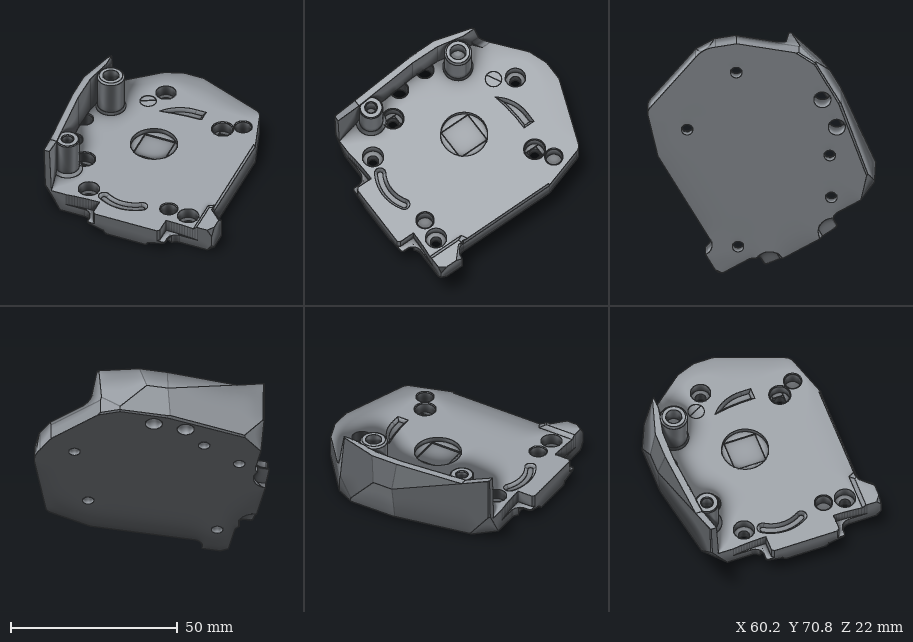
import cadquery as cq
import math

PLATE_TOP = 6.65
WING_TOP = 7.8
WALL_TOP = 18.7
TIP_TOP = 21.95
OVERALL_X = 60.2
OVERALL_Y = 70.8
FRONT_Y = 4.9
PLATE_RIGHT = 56.55
RIGHT_BEND_Y = 47.7
TAB_CENTER_X = 34.25
CORE_POINT = (56.6, 8.5, 1.4)
FAR = 141.6
CLEAR = 0.7

RIDGE_BACK = (0.0, 42.2, 10.75)
RIDGE_FRONT = (0.0, 35.7, 10.75)
SHOULDER_FRONT = (2.3, 35.4, WALL_TOP)
BACK_TOP = (5.5, 55.15, WALL_TOP)
SLOPE_START = (3.95, 13.6, WALL_TOP)
FOOT_BACK = (0.35, 50.25, 1.7)
FOOT_MIDDLE = (0.4, 35.7, 0.0)
FOOT_FRONT = (4.9, 11.1, 0.6)
BACK_CORNER = (3.05, 55.8)
BACK_BEND = (17.7, 67.8)
BACK_LEAN_START = 5.25
BACK_LEAN = 0.13
TIP_FACET_TOP = (5.8, 5.4, 7.9)
TIP_FACET_END = (10.75, FRONT_Y, 0.2)
TIP_EDGE_TOP = (5.4, 5.4, TIP_TOP)
TIP_EDGE_FRONT = (6.15, FRONT_Y, 7.9)
RIGHT_CORNER = [(52.6, 60.45), (51.9, 61.8), (50.6, 62.65)]
BACK_NOSE = [(30.65, 70.1), (27.1, OVERALL_Y), (23.7, 70.0)]
BACK_TOP_Y = 70.15
BOTTOM_CHAMFER = 0.5

TAB_HALF = 12.6
TAB_FILLET = 2.9
TAB_CORNER = 0.7
LEDGE_Z = 2.75
UPPER_TAB_HALF = 10.8
UNDERCUT_SLOPE = [(12.3, 2.4), (7.35, 1.05), (6.5, 0)]
UNDERCUT_OFFSET = 11.05
UNDERCUT_RADIUS = 4.5
GRIP_HALF = 21.4
GRIP_DEPTH = 0.65
GRIP_FACETS = 12

WING_BACK = 12.75
WING_FILLET = 3.1
WING_SLOPE_X = 54.15
WING_SLOPE_RUN = WING_TOP - PLATE_TOP
PAD_BACK_LEFT = (WING_SLOPE_X, 16.7, PLATE_TOP)
PAD_BACK_RIGHT = (56.0, 17.6, PLATE_TOP)
PAD_TOP_BACK = 14.8
WING_CORNER = (1.5, 2.1, 2.1)
WING_BEVEL_START = (56.35, 14.1, WING_TOP)
WING_BEVEL_END = (OVERALL_X, 10.5, WING_TOP)
WING_BEVEL_LOW = 5.65
EDGE_CHAMFER = 0.6

WALL_END_X = 6.3
WALL_END_START = 52.0
INNER_BEND_BACK = (4.5, 43.9)
INNER_BEND_FRONT = (4.4, 34.7)
INNER_SLOPE_START = (6.15, SLOPE_START[1])
INNER_FRONT_LOW = 8.1
INNER_FRONT_HIGH = 7.4
WALL_END_RADIUS = 2.55
WALL_END_WIDTH = 3.2

BOSSES = [
    ((9.55, 47.8), 4.1, 2.4, WALL_TOP, 0.6),
    ((8.6, 16.3), 3.55, 1.6, 18.25, 0.3),
]
BOSS_FLARE_RADIUS = 4.5
BOSS_FLARE = 0.85
BOSS_HOLE_DEPTH = 4.95

SCREWS = [((22.5, 59.7), 3.05), ((18.1, 10.05), 3.2), ((50.4, 10.05), 3.2)]
SCREW_RADIUS = 1.7
COUNTERBORE_DEPTH = 3.4
STEPPED_SCREWS = [(44.6, 50.8), (11.7, 22.15)]
STEPPED_RADIUS = 3.05
STEP = 0.3
HOLE_CHAMFER = 0.3
MAGNET_RADIUS = 2.5
MAGNET_DEPTH = 4.25
OPEN_MAGNET_HOLES = [(49.9, 54.1), (43.8, 10.75)]
MAGNET_AT = (19.05, 54.1)
STEP_LINE_ANGLE = 27.6
STEP_LINE_OFFSET = 0.3
MAGNET_STEP = 0.15
WALL_HOLES = [(4.5, 39.1), (5.25, 29.2)]
WALL_HOLE_RADIUS = 2.55

RECESS_AT = (28.25, 36.5)
RECESS_RADIUS = 7.1
RECESS_DEPTH = 1.5
SQUARE_SIDE = 9.9
SQUARE_DEPTH = 0.5

POCKET_DEPTH = 1.0
POCKET_TAPER = 42.0
SLOT_CENTER = (29.8, 18.4)
SLOT_RADIUS = 11.5
SLOT_HALF_WIDTH = 1.7
SLOT_HALF_ANGLE = 32.5
FIN_TIP = (24.0, 51.1)
FIN_FRONT_MIDDLE = (30.1, 52.0)
FIN_BACK_MIDDLE = (28.0, 54.5)
FIN_RIGHT = 37.2
FIN_FRONT = 52.3
FIN_BACK = 55.9
FIN_ARC_START = 34.0


def cut_beyond(body, point_a, point_b, point_c):
    """Remove what lies beyond the plane through three points, seen from the core point."""
    origin = cq.Vector(*point_a)
    along = cq.Vector(*point_b) - origin
    normal = along.cross(cq.Vector(*point_c) - origin)
    if normal.dot(cq.Vector(*CORE_POINT) - origin) > 0:
        normal = -normal
    plane = cq.Plane(origin, xDir=along, normal=normal)
    block = cq.Workplane(plane).rect(2 * FAR, 2 * FAR).extrude(FAR)
    return body.cut(block)


def prism(points, bottom, top):
    """Upright prism over a plan polygon."""
    return cq.Workplane("XY").workplane(offset=bottom).polyline(points).close().extrude(top - bottom)


def cylinder(center, radius, bottom, top):
    return cq.Workplane("XY").workplane(offset=bottom).center(*center).circle(radius).extrude(top - bottom)


def cone(center, bottom_radius, top_radius, bottom, top):
    solid = cq.Solid.makeCone(bottom_radius, top_radius, top - bottom, cq.Vector(*center, bottom))
    return cq.Workplane(obj=solid)


def plan_block():
    """Full-height block over the plan outline, without the tab."""
    fillet_top = WING_BACK + WING_FILLET
    fillet_mid = WING_FILLET * (1 - math.sqrt(0.5))
    return (
        cq.Workplane("XY")
        .moveTo(-CLEAR, FRONT_Y)
        .lineTo(OVERALL_X, FRONT_Y)
        .lineTo(OVERALL_X, WING_BACK)
        .lineTo(PLATE_RIGHT + WING_FILLET, WING_BACK)
        .threePointArc((PLATE_RIGHT + fillet_mid, WING_BACK + fillet_mid), (PLATE_RIGHT, fillet_top))
        .lineTo(PLATE_RIGHT, RIGHT_BEND_Y)
        .lineTo(*RIGHT_CORNER[0])
        .threePointArc(*RIGHT_CORNER[1:])
        .lineTo(*BACK_NOSE[0])
        .threePointArc(*BACK_NOSE[1:])
        .lineTo(*BACK_BEND)
        .lineTo(*BACK_CORNER)
        .lineTo(-CLEAR, BACK_CORNER[1])
        .close()
        .extrude(TIP_TOP)
    )


def trim_outer_faces(body):
    """Cut the flat facets of the left wall and the leaning back faces."""
    body = cut_beyond(body, RIDGE_FRONT, FOOT_FRONT, SLOPE_START)
    body = cut_beyond(body, RIDGE_BACK, FOOT_MIDDLE, RIDGE_FRONT)
    body = cut_beyond(body, RIDGE_BACK, BACK_TOP, FOOT_BACK)
    body = cut_beyond(body, RIDGE_BACK, RIDGE_FRONT, SHOULDER_FRONT)
    body = cut_beyond(body, RIDGE_FRONT, SLOPE_START, SHOULDER_FRONT)
    foot_below = (FOOT_BACK[0], FOOT_BACK[1], 0)
    body = cut_beyond(body, FOOT_BACK, (*BACK_CORNER, 0), foot_below)
    run_x = BACK_BEND[0] - BACK_CORNER[0]
    run_y = BACK_BEND[1] - BACK_CORNER[1]
    run = math.hypot(run_x, run_y)
    lean_height = WALL_TOP - BACK_LEAN_START
    leaned = (
        BACK_CORNER[0] + BACK_LEAN * lean_height * run_y / run,
        BACK_CORNER[1] - BACK_LEAN * lean_height * run_x / run,
        WALL_TOP,
    )
    body = cut_beyond(body, (*BACK_CORNER, BACK_LEAN_START), (*BACK_BEND, BACK_LEAN_START), leaned)
    body = cut_beyond(body, (0, BACK_TOP_Y, PLATE_TOP), (0, OVERALL_Y, 0), (0.7, BACK_TOP_Y, PLATE_TOP))
    body = cut_beyond(body, FOOT_FRONT, TIP_FACET_END, TIP_FACET_TOP)
    body = cut_beyond(body, TIP_FACET_TOP, TIP_EDGE_FRONT, TIP_EDGE_TOP)
    foot_line = [BACK_CORNER, FOOT_BACK[:2], FOOT_MIDDLE[:2], FOOT_FRONT[:2]]
    for start, end in zip(foot_line, foot_line[1:]):
        inset = (start[0] + BOTTOM_CHAMFER, start[1], 0)
        body = cut_beyond(body, (*start, BOTTOM_CHAMFER), (*end, BOTTOM_CHAMFER), inset)
    return body


def trim_wall_top(body):
    """Level wall top that rises toward the front tip."""
    above = (
        cq.Workplane("YZ")
        .moveTo(OVERALL_Y + CLEAR, WALL_TOP)
        .lineTo(SLOPE_START[1], WALL_TOP)
        .lineTo(FRONT_Y, TIP_TOP)
        .lineTo(OVERALL_Y + CLEAR, TIP_TOP)
        .close()
        .extrude(OVERALL_X)
    )
    return body.cut(above)


def inner_space():
    """Open space above the plate, bounded on the left by the inside of the wall."""
    back = prism(
        [
            INNER_SLOPE_START,
            INNER_BEND_FRONT,
            INNER_BEND_BACK,
            (WALL_END_X, WALL_END_START),
            (WALL_END_X, OVERALL_Y),
            (OVERALL_X, OVERALL_Y),
            (OVERALL_X, INNER_SLOPE_START[1]),
        ],
        PLATE_TOP,
        TIP_TOP,
    )
    front_low = [INNER_SLOPE_START, (INNER_FRONT_LOW, FRONT_Y), (OVERALL_X, FRONT_Y)]
    front_low.append((OVERALL_X, INNER_SLOPE_START[1]))
    front_high = [INNER_SLOPE_START, (INNER_FRONT_HIGH, FRONT_Y), *front_low[2:]]
    front = (
        cq.Workplane("XY", origin=(0, 0, PLATE_TOP))
        .polyline(front_low)
        .close()
        .workplane(offset=TIP_TOP - PLATE_TOP)
        .polyline(front_high)
        .close()
        .loft(ruled=True)
    )
    return back.union(front)


def wing_rise():
    """Raised pad on the wing, sloped on its left and back sides."""
    pad = prism(
        [
            (WING_SLOPE_X, FRONT_Y),
            (OVERALL_X, FRONT_Y),
            (OVERALL_X, PAD_BACK_RIGHT[1]),
            (WING_SLOPE_X, PAD_BACK_RIGHT[1]),
        ],
        PLATE_TOP,
        WING_TOP,
    )
    slope_top = WING_SLOPE_X + WING_SLOPE_RUN
    pad = cut_beyond(
        pad, (WING_SLOPE_X, 0, PLATE_TOP), (slope_top, 0, WING_TOP), (WING_SLOPE_X, -0.7, PLATE_TOP)
    )
    return cut_beyond(pad, PAD_BACK_LEFT, PAD_BACK_RIGHT, (slope_top, PAD_TOP_BACK, WING_TOP))


def wall_end():
    """Concave foot where the wall ends on the plate at the back left."""
    fillet = (
        cq.Workplane("XZ")
        .moveTo(WALL_END_X, PLATE_TOP)
        .lineTo(WALL_END_X + WALL_END_RADIUS, PLATE_TOP)
        .radiusArc((WALL_END_X, PLATE_TOP + WALL_END_RADIUS), WALL_END_RADIUS)
        .close()
        .extrude(-OVERALL_Y)
    )
    slope = (BACK_BEND[1] - BACK_CORNER[1]) / (BACK_BEND[0] - BACK_CORNER[0])
    left_y = BACK_CORNER[1] + slope * (WALL_END_X - BACK_CORNER[0])
    right_x = WALL_END_X + WALL_END_RADIUS
    right_y = left_y + slope * WALL_END_RADIUS
    band = prism(
        [
            (WALL_END_X, left_y),
            (WALL_END_X, left_y - WALL_END_WIDTH),
            (right_x, right_y - WALL_END_WIDTH),
            (right_x, right_y),
        ],
        PLATE_TOP,
        WALL_TOP,
    )
    return fillet.intersect(band)


def bevel_corner(body, level, z_direction):
    """Cut the front right corner of the wing with one flat bevel, at its top or bottom level."""
    size_x, size_y, size_z = WING_CORNER
    along_x = (OVERALL_X - size_x, FRONT_Y, level)
    along_y = (OVERALL_X, FRONT_Y + size_y, level)
    along_z = (OVERALL_X, FRONT_Y, level + z_direction * size_z)
    return cut_beyond(body, along_x, along_y, along_z)


def shape_wing(body):
    """Bevels of the wing and the chamfer along the right edge of the plate."""
    body = bevel_corner(body, WING_TOP, -1)
    body = bevel_corner(body, 0, 1)
    back_end = prism(
        [
            (WING_BEVEL_START[0], WING_BEVEL_END[1]),
            (OVERALL_X, WING_BEVEL_END[1]),
            (OVERALL_X, WING_BACK + WING_FILLET),
            (WING_BEVEL_START[0], WING_BACK + WING_FILLET),
        ],
        0,
        WING_TOP,
    )
    kept = cut_beyond(back_end, WING_BEVEL_START, WING_BEVEL_END, (OVERALL_X, WING_BACK, WING_BEVEL_LOW))
    body = body.cut(back_end.cut(kept))
    edge = (
        cq.Workplane("XZ", origin=(0, WING_BACK + WING_FILLET, 0))
        .moveTo(PLATE_RIGHT - EDGE_CHAMFER, PLATE_TOP)
        .lineTo(PLATE_RIGHT, PLATE_TOP - EDGE_CHAMFER)
        .lineTo(PLATE_RIGHT, WING_TOP)
        .lineTo(PLATE_RIGHT - EDGE_CHAMFER, WING_TOP)
        .close()
        .extrude(-(RIGHT_BEND_Y - WING_BACK - WING_FILLET))
    )
    return body.cut(edge)


def lower_tab():
    """Tab at the front with concave roots and rounded corners, up to the ledge."""
    left = TAB_CENTER_X - TAB_HALF
    right = TAB_CENTER_X + TAB_HALF
    return (
        cq.Workplane("XY")
        .moveTo(left - TAB_FILLET, FRONT_Y)
        .radiusArc((left, FRONT_Y - TAB_FILLET), TAB_FILLET)
        .lineTo(left, TAB_CORNER)
        .radiusArc((left + TAB_CORNER, 0), -TAB_CORNER)
        .lineTo(right - TAB_CORNER, 0)
        .radiusArc((right, TAB_CORNER), -TAB_CORNER)
        .lineTo(right, FRONT_Y - TAB_FILLET)
        .radiusArc((right + TAB_FILLET, FRONT_Y), TAB_FILLET)
        .lineTo(right + TAB_FILLET, FRONT_Y + CLEAR)
        .lineTo(left - TAB_FILLET, FRONT_Y + CLEAR)
        .close()
        .extrude(LEDGE_Z)
    )


def upper_tab():
    return (
        cq.Workplane("XY", origin=(0, 0, LEDGE_Z))
        .center(TAB_CENTER_X, 0)
        .rect(2 * UPPER_TAB_HALF, FRONT_Y + 2 * CLEAR, centered=(True, False))
        .extrude(PLATE_TOP - LEDGE_Z)
        .faces("<Y")
        .edges("|Z")
        .chamfer(TAB_CORNER)
    )


def grip_hollow(side):
    """Shallow faceted hollow in the front face beside the tab."""
    width = GRIP_HALF - UPPER_TAB_HALF
    points = [(TAB_CENTER_X + side * UPPER_TAB_HALF, FRONT_Y - CLEAR)]
    for i in range(GRIP_FACETS + 1):
        share = i / GRIP_FACETS
        x = TAB_CENTER_X + side * (UPPER_TAB_HALF + share * width)
        points.append((x, FRONT_Y + GRIP_DEPTH * (1 - share ** 2)))
    points.append((TAB_CENTER_X + side * GRIP_HALF, FRONT_Y - CLEAR))
    return prism(points, LEDGE_Z, WING_TOP)


def tab_undercut(side):
    """Round relief with a sloped roof under one corner of the tab."""
    profile = [*UNDERCUT_SLOPE, (TAB_HALF + CLEAR, 0), (TAB_HALF + CLEAR, UNDERCUT_SLOPE[0][1])]
    points = [(TAB_CENTER_X + side * x, z) for x, z in profile]
    wedge = cq.Workplane("XZ").polyline(points).close().extrude(-FRONT_Y)
    round_wall = cylinder((TAB_CENTER_X + side * UNDERCUT_OFFSET, 0), UNDERCUT_RADIUS, 0, LEDGE_Z)
    return wedge.intersect(round_wall)


def boss(center, radius, top, chamfer):
    shaft = cylinder(center, radius, PLATE_TOP - CLEAR, top - chamfer)
    rim = cone(center, radius, radius - chamfer, top - chamfer, top)
    flare = cone(center, BOSS_FLARE_RADIUS, radius, PLATE_TOP, PLATE_TOP + BOSS_FLARE)
    return shaft.union(rim).union(flare)


def countersink(center, radius, top=PLATE_TOP):
    return cone(center, radius, radius + HOLE_CHAMFER, top - HOLE_CHAMFER, top)


def screw_hole(center, head_radius):
    head = cylinder(center, head_radius, PLATE_TOP - COUNTERBORE_DEPTH, PLATE_TOP)
    return head.union(cylinder(center, SCREW_RADIUS, 0, PLATE_TOP))


def stepped_screw_hole(center):
    """Screw hole whose counterbore floor steps down through a slot and a square."""
    floor = PLATE_TOP - COUNTERBORE_DEPTH
    side = 2 * SCREW_RADIUS
    slot = cylinder(center, STEPPED_RADIUS, floor - STEP, floor)
    band = cq.Workplane("XY").center(*center).rect(side, FAR).extrude(PLATE_TOP)
    square = cq.Workplane("XY", origin=(*center, floor - 2 * STEP)).rect(side, side).extrude(2 * STEP)
    hole = screw_hole(center, STEPPED_RADIUS).union(slot.intersect(band)).union(square)
    return hole.union(countersink(center, STEPPED_RADIUS))


def magnet_hole(center):
    return cylinder(center, MAGNET_RADIUS, PLATE_TOP - MAGNET_DEPTH, PLATE_TOP)


def wall_hole(center):
    hole = cylinder(center, WALL_HOLE_RADIUS, 0, PLATE_TOP)
    return hole.union(countersink(center, WALL_HOLE_RADIUS))


def center_recess():
    depth = RECESS_DEPTH + SQUARE_DEPTH
    square = (
        cq.Workplane("XY", origin=(0, 0, PLATE_TOP - depth))
        .center(*RECESS_AT)
        .rect(SQUARE_SIDE, SQUARE_SIDE)
        .extrude(depth)
    )
    return cylinder(RECESS_AT, RECESS_RADIUS, PLATE_TOP - RECESS_DEPTH, PLATE_TOP).union(square)


def arc_slot():
    """Curved slot with bevelled sides near the tab."""
    def at(radius, degrees):
        angle = math.radians(270 + degrees)
        return (SLOT_CENTER[0] + radius * math.cos(angle), SLOT_CENTER[1] + radius * math.sin(angle))

    outer = SLOT_RADIUS + SLOT_HALF_WIDTH
    inner = SLOT_RADIUS - SLOT_HALF_WIDTH
    cap = math.degrees(SLOT_HALF_WIDTH / SLOT_RADIUS)
    end = SLOT_HALF_ANGLE
    return (
        cq.Workplane("XY", origin=(0, 0, PLATE_TOP))
        .moveTo(*at(outer, -end))
        .threePointArc(at(outer, 0), at(outer, end))
        .threePointArc(at(SLOT_RADIUS, end + cap), at(inner, end))
        .threePointArc(at(inner, 0), at(inner, -end))
        .threePointArc(at(SLOT_RADIUS, -end - cap), at(outer, -end))
        .close()
        .extrude(-POCKET_DEPTH, taper=POCKET_TAPER)
    )


def fin_pocket():
    """Fin-shaped pocket with bevelled sides at the back."""
    return (
        cq.Workplane("XY", origin=(0, 0, PLATE_TOP))
        .moveTo(*FIN_TIP)
        .threePointArc(FIN_FRONT_MIDDLE, (FIN_RIGHT, FIN_FRONT))
        .lineTo(FIN_RIGHT, FIN_BACK)
        .lineTo(FIN_ARC_START, FIN_BACK)
        .threePointArc(FIN_BACK_MIDDLE, FIN_TIP)
        .close()
        .extrude(-POCKET_DEPTH, taper=POCKET_TAPER)
    )


def make_housing():
    body = trim_wall_top(trim_outer_faces(plan_block()))
    body = body.cut(inner_space().cut(wing_rise()))
    body = body.union(wall_end().intersect(trim_outer_faces(plan_block())))
    body = shape_wing(body)
    for side in (-1, 1):
        body = body.cut(grip_hollow(side))
    body = body.union(lower_tab()).union(upper_tab())
    for side in (-1, 1):
        body = body.cut(tab_undercut(side))
    for center, radius, _, top, chamfer in BOSSES:
        body = body.union(boss(center, radius, top, chamfer))
    for center in STEPPED_SCREWS:
        body = body.cut(stepped_screw_hole(center))
    for center, _, hole_radius, top, _ in BOSSES:
        body = body.cut(cylinder(center, hole_radius, top - BOSS_HOLE_DEPTH, top))
    narrow_center, _, narrow_radius, narrow_top, _ = BOSSES[1]
    body = body.cut(countersink(narrow_center, narrow_radius, narrow_top))
    for center, head_radius in SCREWS:
        body = body.cut(screw_hole(center, head_radius))
    for center in OPEN_MAGNET_HOLES:
        body = body.cut(magnet_hole(center).union(countersink(center, MAGNET_RADIUS)))
    body = body.cut(magnet_hole(MAGNET_AT))
    for center in WALL_HOLES:
        body = body.cut(wall_hole(center))
    return body.cut(center_recess()).cut(arc_slot()).cut(fin_pocket())


def make_magnet():
    """Round magnet flush in its hole, with a shallow step across its top."""
    lowered = (
        cq.Workplane("XY", origin=(*MAGNET_AT, PLATE_TOP - MAGNET_STEP))
        .transformed(rotate=(0, 0, STEP_LINE_ANGLE))
        .center(0, STEP_LINE_OFFSET)
        .rect(4 * MAGNET_RADIUS, 2 * MAGNET_RADIUS, centered=(True, False))
        .extrude(MAGNET_STEP)
    )
    return magnet_hole(MAGNET_AT).cut(lowered)


housing = make_housing()
magnet = make_magnet()
result = cq.Compound.makeCompound([housing.val(), magnet.val()])